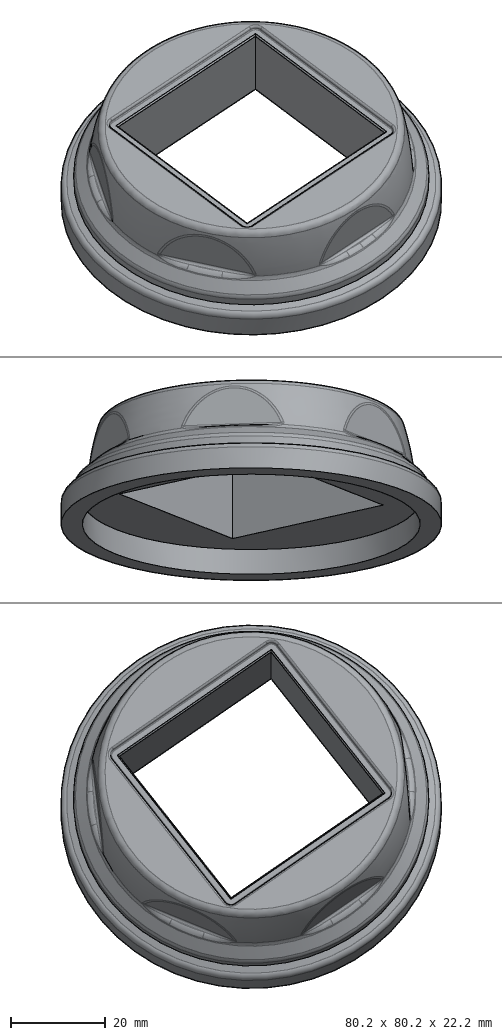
import math

import cadquery as cq

HEIGHT = 22.2
FLANGE_RADIUS = 40.11
FLANGE_TOP = 5.85
FLANGE_ROUND = 1.2
STEP_RADIUS = 37.45
STEP_FOOT_Z = 6.3
STEP_TOP_Z = 8.45
STEP_EDGE_ROUND = 1.2
COLLAR_FOOT_RADIUS = 68.68 / 2
COLLAR_FOOT_Z = 11.1
COLLAR_TOP_RADIUS = 31.95
COLLAR_BULGE_RADIUS = 50.0
COLLAR_FOOT_ROUND = 1.3
COLLAR_TOP_ROUND = 1.6
FLAT_COUNT = 6
FLAT_DISTANCE = 32.55
FLAT_FLOOR_Z = 11.55
FLAT_FOOT_ROUND = 0.55
FLAT_EDGE_ROUND = 1.6
OPENING_SIZE = 39.7
OPENING_EDGE_CHAMFER = 0.33
REBATE_SIZE = 43.2
REBATE_DEPTH = 0.72
REBATE_FLOOR_ROUND = 0.2
REBATE_CORNER_RADIUS = 1.5
REBATE_EDGE_ROUND = 0.5
RIM_THICKNESS = 4.5
RECESS_DEPTH = 5.45

PICK_MARGIN = 0.01


def edges_within(half_width, z):
    """Selector for edges at height z that lie within a centred square."""
    reach = half_width + PICK_MARGIN
    return cq.selectors.BoxSelector(
        (-reach, -reach, z - PICK_MARGIN),
        (reach, reach, z + PICK_MARGIN),
        boundingbox=True,
    )


def make_body():
    """Turned body, with the flange, step, shoulder and collar edges rounded."""
    body = (
        cq.Workplane("XZ")
        .lineTo(FLANGE_RADIUS, 0)
        .lineTo(FLANGE_RADIUS, FLANGE_TOP - FLANGE_ROUND)
        .radiusArc((FLANGE_RADIUS - FLANGE_ROUND, FLANGE_TOP), -FLANGE_ROUND)
        .lineTo(STEP_RADIUS, STEP_FOOT_Z)
        .lineTo(STEP_RADIUS, STEP_TOP_Z)
        .lineTo(COLLAR_FOOT_RADIUS, COLLAR_FOOT_Z)
        .radiusArc((COLLAR_TOP_RADIUS, HEIGHT), -COLLAR_BULGE_RADIUS)
        .lineTo(0, HEIGHT)
        .close()
        .revolve(360, (0, 0), (0, 1))
    )
    rounds = [
        (STEP_RADIUS, STEP_TOP_Z, STEP_EDGE_ROUND),
        (COLLAR_FOOT_RADIUS, COLLAR_FOOT_Z, COLLAR_FOOT_ROUND),
        (COLLAR_TOP_RADIUS, HEIGHT, COLLAR_TOP_ROUND),
    ]
    for radius, z, size in rounds:
        body = body.edges(edges_within(radius, z)).fillet(size)
    return body


def make_flat_cutter():
    """Block outside one flat, facing +X, with its inner lower edge rounded."""
    depth = FLANGE_RADIUS - FLAT_DISTANCE
    return (
        cq.Workplane("XY")
        .box(depth, 2 * FLANGE_RADIUS, HEIGHT, centered=(False, True, False))
        .edges("<X and <Z")
        .fillet(FLAT_FOOT_ROUND)
        .translate((FLAT_DISTANCE, 0, FLAT_FLOOR_Z))
    )


def cut_flats(body):
    """Cut the grip flats and soften the arched edge of each one."""
    cutter = make_flat_cutter()
    for index in range(FLAT_COUNT):
        body = body.cut(cutter.rotate((0, 0, 0), (0, 0, 1), index * 360 / FLAT_COUNT))
    arch_zone = cq.selectors.BoxSelector(
        (-FLANGE_RADIUS, -FLANGE_RADIUS, FLAT_FLOOR_Z + FLAT_FOOT_ROUND - PICK_MARGIN),
        (FLANGE_RADIUS, FLANGE_RADIUS, HEIGHT - COLLAR_TOP_ROUND),
        boundingbox=True,
    )
    return body.edges(arch_zone).edges("%BSPLINE").fillet(FLAT_EDGE_ROUND)


def cut_opening(body):
    """Square through opening with a chamfered edge, inside a rounded rebate."""
    rebate_floor = HEIGHT - REBATE_DEPTH
    opening = cq.Workplane("XY").rect(OPENING_SIZE, OPENING_SIZE).extrude(HEIGHT)
    rebate = (
        cq.Workplane("XY", origin=(0, 0, rebate_floor))
        .rect(REBATE_SIZE, REBATE_SIZE)
        .extrude(REBATE_DEPTH)
        .edges("|Z")
        .fillet(REBATE_CORNER_RADIUS)
        .faces("<Z")
        .edges()
        .fillet(REBATE_FLOOR_ROUND)
    )
    return (
        body.cut(opening)
        .cut(rebate)
        .edges(edges_within(REBATE_SIZE / 2, HEIGHT))
        .fillet(REBATE_EDGE_ROUND)
        .edges(edges_within(OPENING_SIZE / 2, rebate_floor))
        .chamfer(OPENING_EDGE_CHAMFER)
    )


def cut_recess(body):
    """Round recess that opens on the underside."""
    recess = cq.Workplane("XY").circle(FLANGE_RADIUS - RIM_THICKNESS).extrude(RECESS_DEPTH)
    return body.cut(recess)


result = cut_recess(cut_opening(cut_flats(make_body())))